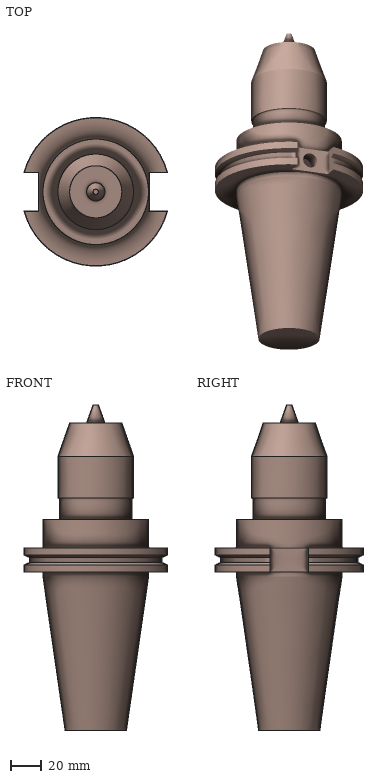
import cadquery as cq

total_height = 215.2
taper_height = 101.5
flange_bottom = 104.8
flange_top = 120.7
shoulder_height = 139.7

taper_end_radius = 20.2
body_radius = 34.9
flange_radius = 49.0

corner_fillet = 0.6

edge_margin = 0.2

groove_middle = (flange_bottom + flange_top) / 2
groove_root_radius = 45.6
groove_mouth_width = 6.9
groove_root_width = 3.5

slot_width = 25.5
left_slot_floor = 37.9
right_slot_floor = 35.5

slot_hole_diameter = 10.0
slot_hole_depth = 10.8
slot_hole_height = groove_middle

neck_radius = 23.9
sleeve_bottom = 153.7
sleeve_radius = 25.0
nose_bottom = 181.2
nose_top = 203.4
nose_radius = 17.2
tip_base_radius = 6.0
tip_end_radius = 1.7


def revolve_profile(points):
    """Turn a closed outline of (radius, height) points around the Z axis."""
    return cq.Workplane("XZ").polyline(points).close().revolve(360, (0, 0, 0), (0, 1, 0))


def fillet_circle(body, radius, height):
    """Fillet the circular edge of the given radius and height about the Z axis."""
    reach = radius + edge_margin
    nearby = cq.selectors.BoxSelector(
        (-reach, -reach, height - edge_margin),
        (reach, reach, height + edge_margin),
        boundingbox=True,
    )
    return body.edges(nearby).edges(cq.selectors.RadiusNthSelector(-1)).fillet(corner_fillet)


def make_holder_blank():
    """Taper, grooved flange and shoulder as one turned shape."""
    half_mouth = groove_mouth_width / 2
    half_root = groove_root_width / 2
    blank = revolve_profile([
        (0, 0),
        (taper_end_radius, 0),
        (body_radius, taper_height),
        (body_radius, flange_bottom),
        (flange_radius, flange_bottom),
        (flange_radius, groove_middle - half_mouth),
        (groove_root_radius, groove_middle - half_root),
        (groove_root_radius, groove_middle + half_root),
        (flange_radius, groove_middle + half_mouth),
        (flange_radius, flange_top),
        (body_radius, flange_top),
        (body_radius, shoulder_height),
        (0, shoulder_height),
    ])
    return fillet_circle(blank, body_radius, flange_top)


def make_drive_slot(side, floor):
    """Cutter for a slot through the flange; side is -1 for -X and +1 for +X."""
    return (
        cq.Workplane("XY", origin=(side * (floor + flange_radius / 2), 0, flange_bottom))
        .rect(flange_radius, slot_width)
        .extrude(flange_top - flange_bottom)
    )


def make_slot_hole():
    """Cutter for the blind hole running inward from the left slot floor."""
    return (
        cq.Workplane("YZ", origin=(-left_slot_floor, 0, slot_hole_height))
        .circle(slot_hole_diameter / 2)
        .extrude(slot_hole_depth)
    )


def make_holder():
    holder = make_holder_blank()
    for side, floor in ((-1, left_slot_floor), (1, right_slot_floor)):
        holder = holder.cut(make_drive_slot(side, floor))
    return holder.cut(make_slot_hole())


def make_chuck():
    """Neck, sleeve, conical nose and pointed tip."""
    chuck = revolve_profile([
        (0, shoulder_height),
        (neck_radius, shoulder_height),
        (neck_radius, sleeve_bottom),
        (sleeve_radius, sleeve_bottom),
        (sleeve_radius, nose_bottom),
        (nose_radius, nose_top),
        (tip_base_radius, nose_top),
        (tip_end_radius, total_height),
        (0, total_height),
    ])
    return fillet_circle(chuck, neck_radius, sleeve_bottom)


holder = make_holder()
chuck = make_chuck()
result = cq.Compound.makeCompound([holder.val(), chuck.val()])